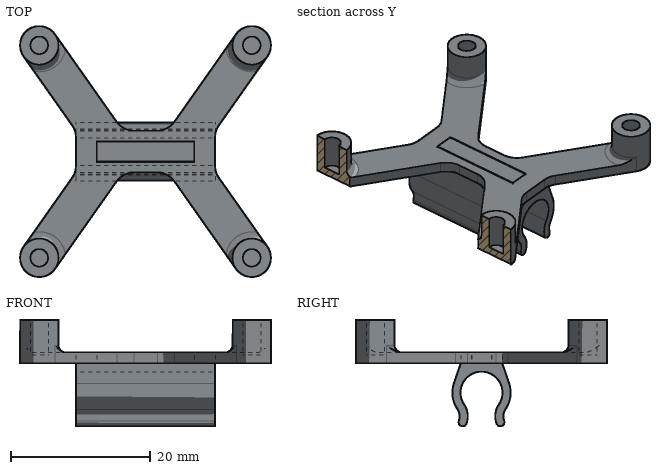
import cadquery as cq
import math

OVERALL_WIDTH = 36.02
POST_DIAMETER = 5.53
POST_HEIGHT = 6.25
HOLE_DIAMETER = 2.53
HOLE_DEPTH = 5.0
PLATE_THICKNESS = 1.6
HUB_LENGTH = 20.0
HUB_WIDTH = 6.0
CROTCH_RADIUS = 3.0
POST_FILLET = 1.0

CLIP_LENGTH = 20.0
CLIP_WALL = 1.2
CLIP_BORE_RADIUS = 3.0
CLIP_OUTER_RADIUS = CLIP_BORE_RADIUS + CLIP_WALL
CLIP_TOP_HALF_WIDTH = 3.0
CLIP_DEPTH = 9.03
LIP_HALF_GAP = 1.95
LIP_OUTER_RADIUS = 1.8
TONGUE_LENGTH = 14.0
TONGUE_WIDTH = 2.8
SLOT_CLEARANCE = 0.1

post_x = (OVERALL_WIDTH - POST_DIAMETER) / 2
post_radius = POST_DIAMETER / 2
QUARTER_SIGNS = [(1, 1), (-1, 1), (-1, -1), (1, -1)]

corner_dx = post_x - HUB_LENGTH / 2
corner_dy = post_x - HUB_WIDTH / 2
arm_angle = math.atan2(corner_dx, corner_dy) + math.asin(post_radius / math.hypot(corner_dx, corner_dy))
side_x = post_radius * math.cos(arm_angle)
side_y = post_radius * math.sin(arm_angle)
arm_outer_end = (post_x + side_x, post_x - side_y)
arm_inner_end = (post_x - side_x, post_x + side_y)
crotch_x = arm_inner_end[0] - (arm_inner_end[1] - HUB_WIDTH / 2) * math.tan(arm_angle)


def mirrored(point, signs):
    """Point with each coordinate multiplied by its sign."""
    return (point[0] * signs[0], point[1] * signs[1])


def cross_prism(height):
    """Hub and four square-ended arms, with rounded crotches between the arms."""
    quarter = [(HUB_LENGTH / 2, HUB_WIDTH / 2), arm_outer_end, arm_inner_end, (crotch_x, HUB_WIDTH / 2)]
    outline = []
    for signs in QUARTER_SIGNS:
        points = [mirrored(point, signs) for point in quarter]
        if signs[0] * signs[1] < 0:
            points.reverse()
        outline += points
    prism = cq.Workplane("XY").polyline(outline).close().extrude(height)
    crotches = cq.selectors.BoxSelector(
        (-HUB_LENGTH, -HUB_WIDTH, -height), (HUB_LENGTH, HUB_WIDTH, 2 * height)
    )
    return prism.edges("|Z").edges(crotches).fillet(CROTCH_RADIUS)


def post_fillet():
    """Concave ring that blends a post into the top face of an arm."""
    ring_radius = post_radius + POST_FILLET
    top = PLATE_THICKNESS + POST_FILLET
    diagonal = POST_FILLET * math.sqrt(0.5)
    return (
        cq.Workplane("XZ")
        .moveTo(0, 0)
        .lineTo(ring_radius, 0)
        .lineTo(ring_radius, PLATE_THICKNESS)
        .threePointArc((ring_radius - diagonal, top - diagonal), (post_radius, top))
        .lineTo(0, top)
        .close()
        .revolve(360, (0, 0), (0, 1))
    )


def build_frame():
    """Plate with filleted posts, blind screw holes and a slot for the clip's tongue."""
    post_centers = [mirrored((post_x, post_x), signs) for signs in QUARTER_SIGNS]
    frame = cross_prism(PLATE_THICKNESS)
    blend_limit = cross_prism(PLATE_THICKNESS + POST_FILLET)
    for x, y in post_centers:
        frame = frame.union(post_fillet().translate((x, y, 0)).intersect(blend_limit))
    frame = frame.union(cq.Workplane("XY").pushPoints(post_centers).circle(post_radius).extrude(POST_HEIGHT))
    holes = (
        cq.Workplane("XY", origin=(0, 0, POST_HEIGHT))
        .pushPoints(post_centers)
        .circle(HOLE_DIAMETER / 2)
        .extrude(-HOLE_DEPTH)
    )
    slot = cq.Workplane("XY").rect(TONGUE_LENGTH, TONGUE_WIDTH + 2 * SLOT_CLEARANCE).extrude(PLATE_THICKNESS)
    return frame.cut(holes).cut(slot)


def polar(center, radius, angle):
    """Point on a circle about the center."""
    return (center[0] + radius * math.cos(angle), center[1] + radius * math.sin(angle))


def build_clip():
    """C profile in the YZ plane, extruded along X, with curled lips and a tongue."""
    bore = (0, -CLIP_OUTER_RADIUS)

    lip_inner_radius = LIP_OUTER_RADIUS + CLIP_WALL
    lip_middle_radius = LIP_OUTER_RADIUS + CLIP_WALL / 2
    lip_y = LIP_HALF_GAP + lip_inner_radius
    join = -math.acos(lip_y / (CLIP_OUTER_RADIUS + LIP_OUTER_RADIUS))
    lip = polar(bore, CLIP_OUTER_RADIUS + LIP_OUTER_RADIUS, join)

    tip_drop = CLIP_DEPTH - CLIP_WALL / 2 + lip[1]
    lip_end = math.pi + math.asin(tip_drop / lip_middle_radius)
    lip_middle = (math.pi + join + lip_end) / 2
    tip = polar(lip, lip_middle_radius, lip_end)

    corner_distance = math.hypot(CLIP_TOP_HALF_WIDTH, CLIP_OUTER_RADIUS)
    corner_angle = math.atan2(CLIP_OUTER_RADIUS, CLIP_TOP_HALF_WIDTH)
    flank = corner_angle - math.acos(CLIP_OUTER_RADIUS / corner_distance)

    flank_end = polar(bore, CLIP_OUTER_RADIUS, flank)
    bore_end = polar(bore, CLIP_BORE_RADIUS, join)
    jaw_arcs = [
        (polar(bore, CLIP_OUTER_RADIUS, (flank + join) / 2), polar(bore, CLIP_OUTER_RADIUS, join)),
        (polar(lip, LIP_OUTER_RADIUS, lip_middle), polar(lip, LIP_OUTER_RADIUS, lip_end)),
        (polar(tip, CLIP_WALL / 2, lip_end + math.pi / 2), polar(lip, lip_inner_radius, lip_end)),
        (polar(lip, lip_inner_radius, lip_middle), bore_end),
    ]

    profile = cq.Workplane("YZ").moveTo(-CLIP_TOP_HALF_WIDTH, 0).lineTo(CLIP_TOP_HALF_WIDTH, 0)
    profile = profile.lineTo(*flank_end)
    for middle, end in jaw_arcs:
        profile = profile.threePointArc(middle, end)
    profile = profile.threePointArc(polar(bore, CLIP_BORE_RADIUS, math.pi / 2), mirrored(bore_end, (-1, 1)))

    arc_starts = [flank_end] + [end for _, end in jaw_arcs[:-1]]
    for (middle, _), start in reversed(list(zip(jaw_arcs, arc_starts))):
        profile = profile.threePointArc(mirrored(middle, (-1, 1)), mirrored(start, (-1, 1)))
    jaws = profile.close().extrude(CLIP_LENGTH / 2, both=True)

    tongue = cq.Workplane("XY").rect(TONGUE_LENGTH, TONGUE_WIDTH).extrude(PLATE_THICKNESS)
    return jaws.union(tongue)


frame = build_frame()
clip = build_clip()
result = cq.Compound.makeCompound([frame.val(), clip.val()])